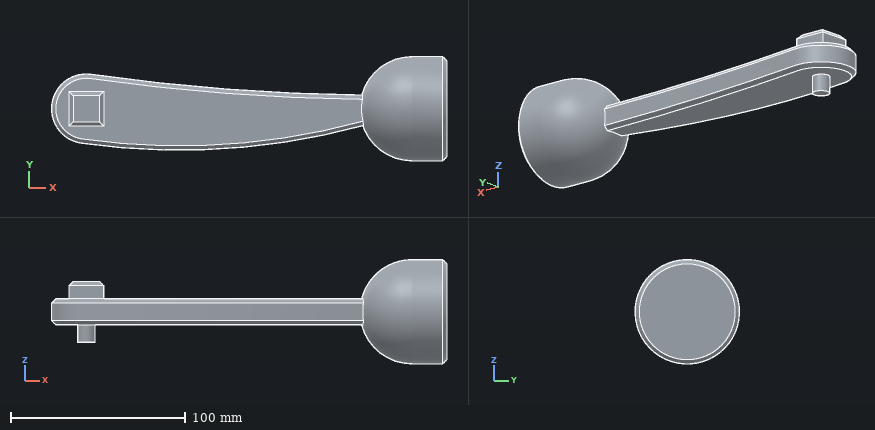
import cadquery as cq
import math

ARM_THICKNESS = 15.0
ARM_CHAMFER = 2.5
ARM_END_RADIUS = 20.0
ARM_TAPER_ANGLE = math.radians(8.1)
UPPER_FLANK_RADIUS = 1200.0
LOWER_FLANK_RADIUS = 400.0

OVERALL_LENGTH = 226.91
BALL_RADIUS = 30.0
BALL_CYLINDER_LENGTH = 20.0
BALL_CHAMFER = 2.5
BALL_END_X = OVERALL_LENGTH - ARM_END_RADIUS
BALL_CENTER_X = BALL_END_X - BALL_CYLINDER_LENGTH

BLOCK_SIDE = 20.0
BLOCK_HEIGHT = 10.0
BLOCK_CHAMFER = 2.5
PIN_DIAMETER = 10.0
PIN_LENGTH = 10.0


def circle_point(center, radius, angle):
    """Point of a circle at the given angle from the first axis."""
    return (center[0] + radius * math.cos(angle), center[1] + radius * math.sin(angle))


def angle_at_x(center, radius, x):
    """Angle, measured from the first axis, of a circle's point at the given x."""
    return math.acos((x - center[0]) / radius)


def make_arm():
    """Chamfered lever whose two flanks are arcs tangent to the rounded end."""
    origin = (0.0, 0.0)
    upper_tangent_angle = math.pi / 2 - ARM_TAPER_ANGLE
    lower_tangent_angle = -math.pi / 2 - ARM_TAPER_ANGLE
    upper_start = circle_point(origin, ARM_END_RADIUS, upper_tangent_angle)
    lower_start = circle_point(origin, ARM_END_RADIUS, lower_tangent_angle)

    upper_center = circle_point(origin, UPPER_FLANK_RADIUS + ARM_END_RADIUS, upper_tangent_angle)
    lower_center = circle_point(origin, LOWER_FLANK_RADIUS - ARM_END_RADIUS, lower_tangent_angle + math.pi)

    upper_from = upper_tangent_angle - math.pi
    upper_to = -angle_at_x(upper_center, UPPER_FLANK_RADIUS, BALL_CENTER_X)
    lower_from = lower_tangent_angle
    lower_to = -angle_at_x(lower_center, LOWER_FLANK_RADIUS, BALL_CENTER_X)

    outline = (
        cq.Workplane("XY")
        .workplane(offset=-ARM_THICKNESS / 2)
        .moveTo(*lower_start)
        .threePointArc(
            circle_point(lower_center, LOWER_FLANK_RADIUS, (lower_from + lower_to) / 2),
            circle_point(lower_center, LOWER_FLANK_RADIUS, lower_to),
        )
        .lineTo(*circle_point(upper_center, UPPER_FLANK_RADIUS, upper_to))
        .threePointArc(
            circle_point(upper_center, UPPER_FLANK_RADIUS, (upper_from + upper_to) / 2),
            upper_start,
        )
        .threePointArc((-ARM_END_RADIUS, 0.0), lower_start)
        .close()
    )
    return outline.extrude(ARM_THICKNESS).faces("|Z").chamfer(ARM_CHAMFER)


def make_ball():
    """Half profile (radius along Z) revolved about the X axis."""
    dome_mid = circle_point((BALL_CENTER_X, 0.0), BALL_RADIUS, 3 * math.pi / 4)
    return (
        cq.Workplane("XZ")
        .moveTo(BALL_CENTER_X - BALL_RADIUS, 0)
        .threePointArc(dome_mid, (BALL_CENTER_X, BALL_RADIUS))
        .lineTo(BALL_END_X - BALL_CHAMFER, BALL_RADIUS)
        .lineTo(BALL_END_X, BALL_RADIUS - BALL_CHAMFER)
        .lineTo(BALL_END_X, 0)
        .close()
        .revolve(360, (0, 0, 0), (1, 0, 0))
    )


def make_block():
    """Square block with its top edges chamfered."""
    return (
        cq.Workplane("XY")
        .workplane(offset=ARM_THICKNESS / 2)
        .rect(BLOCK_SIDE, BLOCK_SIDE)
        .extrude(BLOCK_HEIGHT)
        .faces(">Z")
        .chamfer(BLOCK_CHAMFER)
    )


def make_pin():
    """Round pin hanging below the arm."""
    return (
        cq.Workplane("XY")
        .workplane(offset=-ARM_THICKNESS / 2)
        .circle(PIN_DIAMETER / 2)
        .extrude(-PIN_LENGTH)
    )


result = make_arm().union(make_ball()).union(make_block()).union(make_pin())